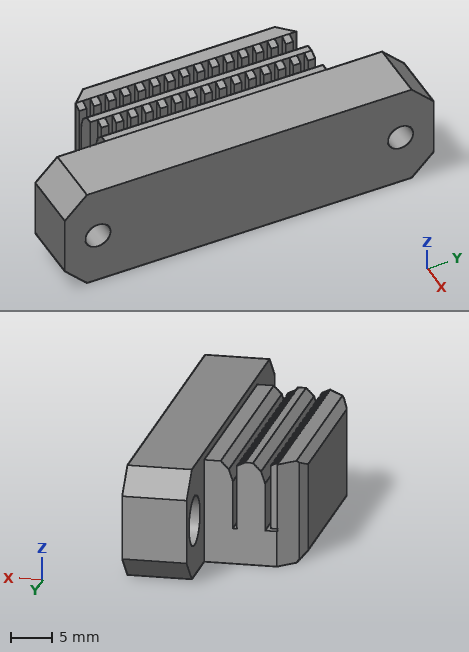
import cadquery as cq

flange_length = 50.0
flange_thickness = 8.0
flange_height = 14.0
flange_corner = 3.0

screw_spacing = 41.0
screw_diameter = 3.4
counterbore_diameter = 6.2
counterbore_depth = 4.0

total_depth = 20.0
body_length = 30.0
body_height = 13.0
nose_corner = 3.0
nose_bevel = 1.0

slot_floor = 4.5
first_slot_far_wall = 4.45
slot_pitch = 4.0
slot_count = 2
slot_width = 1.5
lead_in_width = 1.5
lead_in_step = 0.5
lead_in_drop = 2.5

tooth_pitch = 2.0
tooth_width = tooth_pitch / 2
tooth_count = round(body_length / tooth_pitch)
tooth_depth = 1.0
tooth_bevel_drop = 0.5

flange_face = total_depth - flange_thickness
body_end = body_length / 2


def make_flange():
    """Plate with four chamfered corners and two counterbored screw holes."""
    plate = (
        cq.Workplane("XY")
        .box(flange_thickness, flange_length, flange_height, centered=(False, True, False))
        .translate((flange_face, 0, 0))
        .edges("|X")
        .chamfer(flange_corner)
    )
    return (
        plate.faces("<X")
        .workplane(centerOption="CenterOfBoundBox")
        .rarray(screw_spacing, 0.5, 2, 1)
        .cboreHole(screw_diameter, counterbore_diameter, counterbore_depth)
    )


def make_body():
    """Block with its front corners cut off and its front face bevelled all round."""
    return (
        cq.Workplane("XY")
        .box(flange_face, body_length, body_height, centered=(False, True, False))
        .edges("|Z and <X")
        .chamfer(nose_corner)
        .faces("<X")
        .chamfer(nose_bevel)
    )


def extrude_along_body(points, start, length):
    """Extrude an XZ outline in +Y from the given start."""
    return cq.Workplane("XZ", origin=(0, start, 0)).polyline(points).close().extrude(-length)


def make_slot(far_wall):
    """Slot cutter whose far wall opens into a two-step lead-in at the top."""
    near_wall = far_wall - slot_width
    outline = [
        (near_wall, slot_floor),
        (far_wall, slot_floor),
        (far_wall, body_height - lead_in_drop),
        (far_wall + lead_in_step, body_height - lead_in_width + lead_in_step),
        (far_wall + lead_in_width, body_height),
        (near_wall, body_height),
    ]
    return extrude_along_body(outline, -body_end, body_length)


def make_teeth(far_wall, first_tooth):
    """Row of evenly spaced teeth with sloping tips, on the near wall of a slot."""
    near_wall = far_wall - slot_width
    tip = near_wall + tooth_depth
    outline = [
        (near_wall, slot_floor),
        (tip, slot_floor),
        (tip, body_height - tooth_bevel_drop),
        (near_wall, body_height),
    ]
    teeth = cq.Workplane("XY")
    for index in range(tooth_count):
        start = first_tooth + index * tooth_pitch
        teeth = teeth.add(extrude_along_body(outline, start, tooth_width))
    return teeth.combine()


result = make_flange().union(make_body())
for row in range(slot_count):
    far_wall = first_slot_far_wall + row * slot_pitch
    first_tooth = -body_end + row * tooth_width
    result = result.cut(make_slot(far_wall)).union(make_teeth(far_wall, first_tooth))